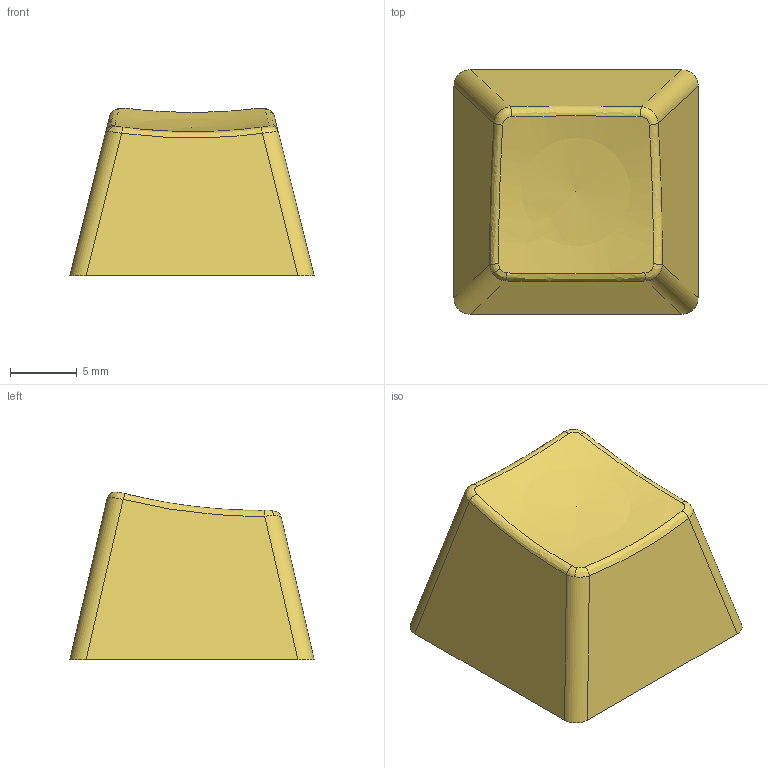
import cadquery as cq
import math

base_size = 18.3
side_draft = 14.0
end_draft = 13.0
corner_radius = 1.25
rim_radius = 0.6

dish_radius = 40.0
dish_tilt = 7.2
dish_floor = 10.79
seam_angle = -135.0

blank_height = 16.0
dish_bottom_y = -dish_radius * math.sin(math.radians(dish_tilt))


def tapered_prism(plane, draft):
    """Symmetric trapezoid drawn on the given plane and extruded past the base on both sides."""
    half_base = base_size / 2
    half_top = half_base - blank_height * math.tan(math.radians(draft))
    outline = [
        (-half_base, 0),
        (half_base, 0),
        (half_top, blank_height),
        (-half_top, blank_height),
    ]
    return cq.Workplane(plane).polyline(outline).close().extrude(base_size, both=True)


def tapered_body():
    """Four leaning walls with rounded corner edges."""
    body = tapered_prism("XZ", side_draft).intersect(tapered_prism("YZ", end_draft))
    wall_corners = body.edges("not(#Z or |X or |Y)")
    return wall_corners.fillet(corner_radius)


def dish_ball():
    """Ball that hollows the top; its axis leans so that its pole sits over the middle of the cap."""
    ball = cq.Workplane("XY").sphere(dish_radius)
    ball = ball.rotate((0, 0, 0), (0, 0, 1), seam_angle)
    ball = ball.rotate((0, 0, 0), (1, 0, 0), dish_tilt)
    return ball.translate((0, dish_bottom_y, dish_floor + dish_radius))


def dished_cap():
    """Body with the spherical dish cut in its top and the rim rounded."""
    cap = tapered_body().cut(dish_ball())
    return cap.faces("%SPHERE").edges().fillet(rim_radius)


result = dished_cap()